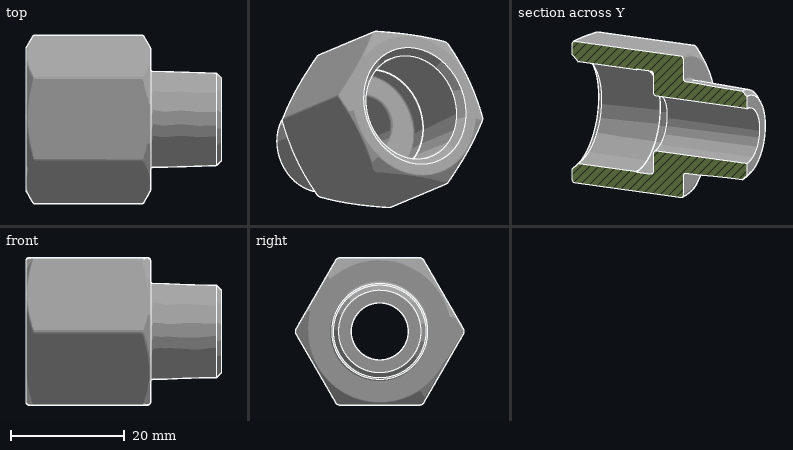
import cadquery as cq
import math

total_length = 34.5
hex_length = 22.0

across_flats = 26.0
corner_radius = 1.0
edge_radius = 0.5
face_diameter = 25.1
bevel_angle = 30.0

spigot_diameter = 16.9
straight_length = 2.3
taper_ratio = 1 / 16
tip_chamfer = 0.9
root_radius = 0.4

bore_diameter = 18.63
bore_mouth_diameter = 21.05
relief_start = 12.73
relief_diameter = 18.85
bore_depth = 16.0
bore_floor_radius = 0.5
through_diameter = 10.0
through_edge_radius = 0.7

ARC_INSET = 1 - math.sqrt(0.5)


def revolve_about_x(profile):
    """Turn an (X, radius) profile around the X axis."""
    return profile.close().revolve(360, (0, 0, 0), (1, 0, 0))


def make_hex_body():
    """Hexagonal prism with bevelled ends and every edge rounded."""
    across_corners = across_flats / math.cos(math.pi / 6)
    prism = (
        cq.Workplane("YZ")
        .polygon(6, across_corners)
        .extrude(hex_length)
        .edges("|X")
        .fillet(corner_radius)
    )

    face_radius = face_diameter / 2
    outer_radius = across_corners / 2
    bevel_length = (outer_radius - face_radius) * math.tan(math.radians(bevel_angle))
    envelope = revolve_about_x(
        cq.Workplane("XY")
        .lineTo(0, face_radius)
        .lineTo(bevel_length, outer_radius)
        .lineTo(hex_length - bevel_length, outer_radius)
        .lineTo(hex_length, face_radius)
        .lineTo(hex_length, 0)
    )
    bevelled = prism.intersect(envelope)
    return bevelled.edges("not |X").fillet(edge_radius)


def make_spigot():
    """Straight neck, taper and tip chamfer, with a fillet at the hexagon face."""
    neck_radius = spigot_diameter / 2
    taper_start = hex_length + straight_length
    taper_end = total_length - tip_chamfer
    taper_end_radius = neck_radius - (taper_end - taper_start) * taper_ratio / 2

    root_start = hex_length - root_radius
    root_end = hex_length + root_radius
    diagonal = root_radius * ARC_INSET
    return revolve_about_x(
        cq.Workplane("XY")
        .moveTo(root_start, 0)
        .lineTo(root_start, neck_radius + root_radius)
        .lineTo(hex_length, neck_radius + root_radius)
        .threePointArc((hex_length + diagonal, neck_radius + diagonal), (root_end, neck_radius))
        .lineTo(taper_start, neck_radius)
        .lineTo(taper_end, taper_end_radius)
        .lineTo(total_length, taper_end_radius - tip_chamfer)
        .lineTo(total_length, 0)
    )


def make_bore():
    """Countersunk bore with a relief and rounded floor, opening into the through hole."""
    bore_radius = bore_diameter / 2
    relief_radius = relief_diameter / 2
    mouth_radius = bore_mouth_diameter / 2
    mouth_depth = mouth_radius - bore_radius
    through_radius = through_diameter / 2
    floor_diagonal = bore_floor_radius * ARC_INSET
    lip_diagonal = through_edge_radius * ARC_INSET
    return revolve_about_x(
        cq.Workplane("XY")
        .lineTo(0, mouth_radius)
        .lineTo(mouth_depth, bore_radius)
        .lineTo(relief_start, bore_radius)
        .lineTo(relief_start, relief_radius)
        .lineTo(bore_depth - bore_floor_radius, relief_radius)
        .threePointArc(
            (bore_depth - floor_diagonal, relief_radius - floor_diagonal),
            (bore_depth, relief_radius - bore_floor_radius),
        )
        .lineTo(bore_depth, through_radius + through_edge_radius)
        .threePointArc(
            (bore_depth + lip_diagonal, through_radius + lip_diagonal),
            (bore_depth + through_edge_radius, through_radius),
        )
        .lineTo(total_length, through_radius)
        .lineTo(total_length, 0)
    )


result = make_hex_body().union(make_spigot()).cut(make_bore())